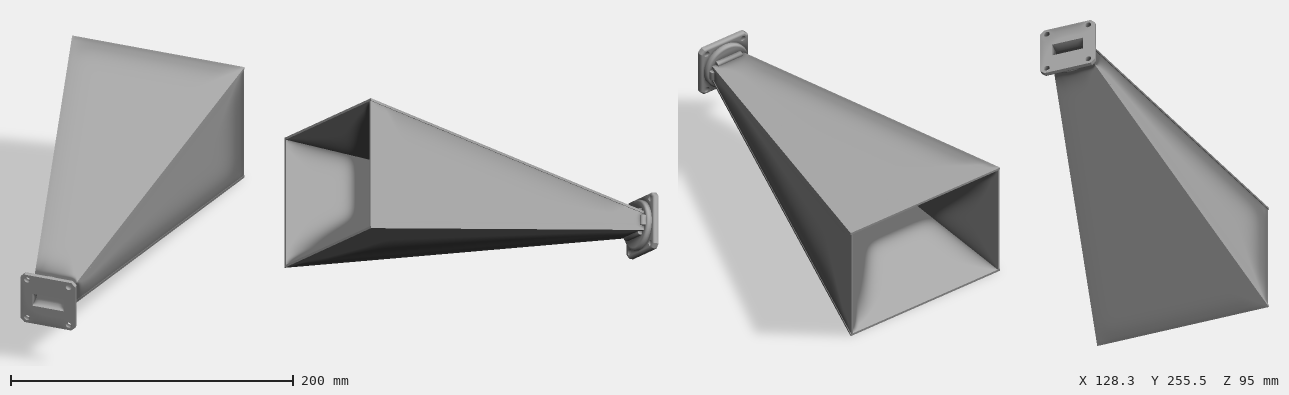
import cadquery as cq

flange_side = 41.0
flange_thickness = 4.0
flange_corner_chamfer = 3.0
flange_edge_radius = 1.5
hole_diameter = 4.3
hole_pitch_x = 31.0
hole_pitch_z = 32.5

hub_diameter = 36.0
hub_back = 8.0
hub_edge_radius = 1.5

guide_width = 23.0
guide_height = 10.2

horn_length = 255.5
mouth_width = 128.3
mouth_height = 95.0
wall_thickness = 1.5
plate_thickness = 1.8
plate_overhang = 0.5

collar_back = 11.2
collar_width = 32.0
collar_height = 19.5
plate_pad_width = 21.0
side_pad_height = 7.2
pad_edge_radius = 1.8


def block(width, height, start, end):
    """Box centred on the Y axis, from Y = start to Y = end."""
    return cq.Workplane("XY").box(width, end - start, height).translate((0, (start + end) / 2, 0))


def frustum(throat, mouth):
    """Rectangular pyramid from the hub back to the mouth; sizes are (width, height)."""
    return (
        cq.Workplane("XZ", origin=(0, hub_back, 0))
        .rect(*throat)
        .workplane(offset=hub_back - horn_length)
        .rect(*mouth)
        .loft(ruled=True)
    )


def make_flange():
    flange = block(flange_side, flange_side, 0, flange_thickness)
    flange = flange.edges("|Y").chamfer(flange_corner_chamfer)
    flange = flange.faces(">Y").edges().fillet(flange_edge_radius)
    holes = (
        cq.Workplane("XZ")
        .rect(hole_pitch_x, hole_pitch_z, forConstruction=True)
        .vertices()
        .circle(hole_diameter / 2)
        .extrude(-flange_thickness)
    )
    return flange.cut(holes)


def make_hub():
    hub = cq.Workplane("XZ").circle(hub_diameter / 2).extrude(-hub_back)
    return hub.faces(">Y").edges().fillet(hub_edge_radius)


def make_collar():
    plate_pads = block(plate_pad_width, collar_height, hub_back, collar_back)
    plate_pads = plate_pads.edges(">Y and |X").fillet(pad_edge_radius)
    side_pads = block(collar_width, side_pad_height, hub_back, collar_back)
    side_pads = side_pads.edges(">Y and |Z").fillet(pad_edge_radius)
    return plate_pads.union(side_pads)


def horn_shells():
    """Return the horn walls and the hollow inside them."""
    throat_width = guide_width + 2 * (wall_thickness + plate_overhang)
    throat_height = guide_height + 2 * plate_thickness
    inner_mouth_height = mouth_height - 2 * plate_thickness
    side_mouth_width = mouth_width - 2 * plate_overhang
    inner_mouth_width = side_mouth_width - 2 * wall_thickness
    side_throat_width = guide_width + 2 * wall_thickness

    envelope = frustum((throat_width, throat_height), (mouth_width, mouth_height))
    between_plates = frustum((throat_width, guide_height), (mouth_width, inner_mouth_height))
    side_body = frustum((side_throat_width, guide_height), (side_mouth_width, inner_mouth_height))
    hollow = frustum((guide_width, guide_height), (inner_mouth_width, inner_mouth_height))
    walls = envelope.cut(between_plates).union(side_body.cut(hollow))
    return walls, hollow


horn, horn_hollow = horn_shells()
waveguide = block(guide_width, guide_height, 0, hub_back)
body = make_flange().union(make_hub()).union(make_collar()).union(horn)
result = body.cut(waveguide).cut(horn_hollow)